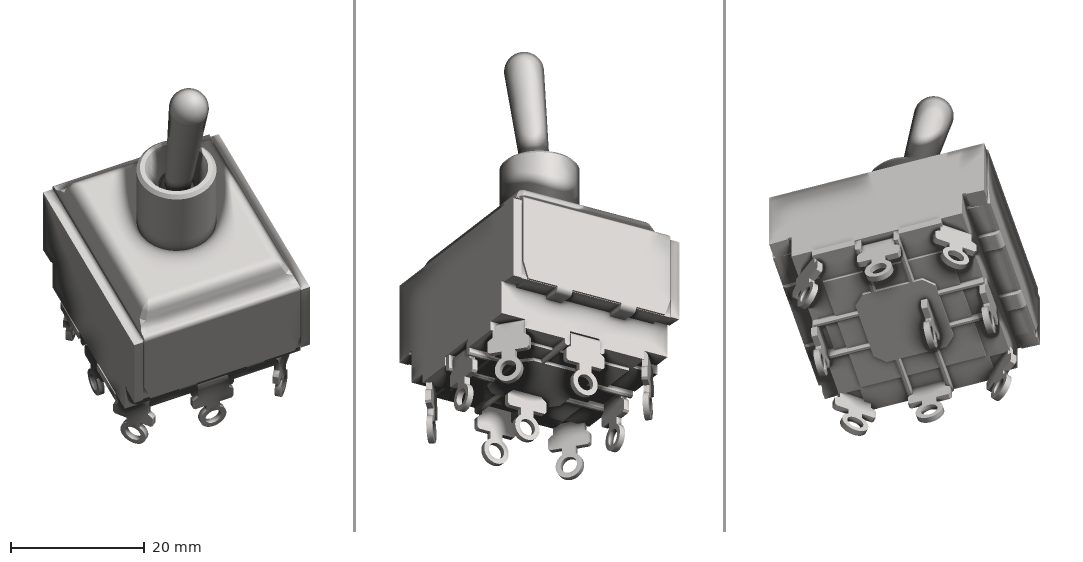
import cadquery as cq
import math

body_half_x = 16.8
body_half_y = 14.4
plate_inner_y = 12.95
core_half_x = 16.6
body_top = 27.95
step_z = 15.0
step_root_z = 15.2
relief_z = 15.5
relief_width = 0.6
lower_half_x = 13.35
plate_bottom = 10.15

base_half_y = 14.2
base_bottom = 8.7
rib_bottom = 7.75
rib_inner = 2.55
rib_width = 0.9
rib_chamfer = 0.25
rib_outer = rib_inner + rib_width
corner_x = 10.1
corner_y = 10.35
notch_depth = 1.6
ledge_half = 9.8
ledge_bottom = 8.3
hub_half = 6.25
hub_chamfer = 1.55
pad_front = 14.5
pad_depth = 1.0

frame_half_x = 17.0
frame_half_y = 12.8
frame_bottom = 15.05
frame_taper_z = 17.85
frame_taper_y = 11.85
shoulder_z = 28.8
cap_top = 32.1
cap_half_x = 12.3
cap_half_y = 9.9
cap_radius = 1.95
flank_slope = 66.0
flare_start_z = 29.9
corner_bevel = 0.45
tab_center_y = 5.55
tab_width = 2.6
tab_end_x = 13.6
tab_step_x = 15.3
tab_bottom = 14.15
tab_end_bottom = 14.3
tab_radius = frame_bottom - tab_bottom

bushing_radius = 6.0
bushing_top = 44.2
bushing_chamfer = 0.5
mouth_radius = 4.75
bore_radius = 5.4 / 2
cone_bottom = 40.6
ball_center_z = 38.95

lever_tilt = 10.8
tip_radius = 3.0
tip_x = 4.55
total_height = 65.15
lever_length = 25.1
lever_root_radius = 1.8

terminal_thickness = 0.9
terminal_face = 13.6
bend_top = plate_bottom
bend_radius = 1.0
flange_length = 2.6
neck_half = 5.0 / 2
ear_half = 3.3
ear_top = 7.3
ear_bottom = 5.1
ear_chamfer = 0.3
stem_half = 2.15 / 2
ring_radius = 4.25 / 2
eye_diameter = 2.6
corner_face_x = 11.8
corner_face_y = 12.4
corner_turn = 39.0
inner_terminal_x = 3.6


def block(x0, x1, y0, y1, z0, z1):
    """Box between two opposite corners."""
    return cq.Workplane("XY").box(x1 - x0, y1 - y0, z1 - z0, centered=False).translate((x0, y0, z0))


def mirrored_outline(plane, half_points):
    """Closed workplane outline from its right-hand points and their mirror images."""
    left = [(-u, v) for u, v in reversed(half_points)]
    return cq.Workplane(plane).polyline(half_points + left).close()


def make_body():
    """Stepped body with two end plates and shallow recesses for the frame sides."""
    plate = [
        (lower_half_x, plate_bottom),
        (lower_half_x, relief_z),
        (lower_half_x + relief_width, relief_z),
        (lower_half_x + relief_width, step_root_z),
        (body_half_x, step_z),
        (body_half_x, body_top),
    ]
    body = mirrored_outline("XZ", plate).extrude(body_half_y, both=True)
    for side in (-1, 1):
        middle = (core_half_x + body_half_x) / 2 * side
        recess = cq.Workplane("XY").box(
            body_half_x - core_half_x, 2 * plate_inner_y, body_top - step_z, centered=(True, True, False)
        )
        body = body.cut(recess.translate((middle, 0, step_z)))
    return body


def make_ribs():
    """Two pairs of crossing ribs that flank the mid-side terminals."""
    rib_height = plate_bottom - rib_bottom
    centered = (True, True, False)
    along_x = cq.Workplane("XY").box(2 * lower_half_x, rib_width, rib_height, centered=centered)
    along_y = cq.Workplane("XY").box(rib_width, 2 * base_half_y, rib_height, centered=centered)
    along_x = along_x.edges("<Z and |X").chamfer(rib_chamfer)
    along_y = along_y.edges("<Z and |Y").chamfer(rib_chamfer)
    offset = rib_inner + rib_width / 2
    ribs = along_x.translate((0, offset, rib_bottom)).union(along_x.translate((0, -offset, rib_bottom)))
    for x in (-offset, offset):
        ribs = ribs.union(along_y.translate((x, 0, rib_bottom)))
    return ribs


def make_base():
    base = block(-lower_half_x, lower_half_x, -base_half_y, base_half_y, base_bottom, plate_bottom)
    ledge = block(-ledge_half, ledge_half, -ledge_half, ledge_half, ledge_bottom, base_bottom)
    hub = block(-hub_half, hub_half, -hub_half, hub_half, rib_bottom, base_bottom)
    base = base.union(ledge).union(hub.edges("|Z").chamfer(hub_chamfer)).union(make_ribs())

    for x0, x1 in ((-corner_x, -rib_outer), (rib_outer, corner_x)):
        base = base.union(block(x0, x1, -pad_front, -pad_front + pad_depth, base_bottom, plate_bottom))
        base = base.union(block(x0, x1, body_half_y - pad_depth, body_half_y, base_bottom, plate_bottom))

    notch_x = lower_half_x - notch_depth
    notch_y = base_half_y - notch_depth
    side_notch = block(notch_x, lower_half_x, -rib_inner, rib_inner, rib_bottom, plate_bottom)
    end_notch = block(-rib_inner, rib_inner, notch_y, base_half_y, rib_bottom, plate_bottom)
    corner = block(corner_x, lower_half_x, corner_y, base_half_y, base_bottom, plate_bottom)
    base = base.cut(side_notch).cut(side_notch.mirror("YZ"))
    base = base.cut(end_notch).cut(end_notch.mirror("XZ"))
    for notch in (corner, corner.mirror("YZ")):
        base = base.cut(notch).cut(notch.mirror("XZ"))
    return base


def rounded_top(flat_half):
    """Middle and end of the arc that rolls the flat top over into the flank."""
    points = []
    for angle in (math.radians(flank_slope / 2), math.radians(flank_slope)):
        across = flat_half + cap_radius * math.sin(angle)
        height = cap_top - cap_radius * (1 - math.cos(angle))
        points.append((across, height))
    return points


def cut_corners(frame, foot_x, flare_end_x):
    """Bevel the slanted corners of the cap; the bevels taper out at the flat top and at the foot."""
    mid_x, end_x = rounded_top(cap_half_x)
    mid_y, end_y = rounded_top(cap_half_y)
    foot_y = end_y[0] + (end_y[1] - flare_start_z) / math.tan(math.radians(flank_slope))

    def along_diagonal(x, y, inset):
        return (x + y) * math.sqrt(0.5) - inset

    top = along_diagonal(cap_half_x, cap_half_y, 0)
    foot = along_diagonal(flare_end_x, frame_half_y, 0)
    cutter = (
        cq.Workplane("XZ")
        .moveTo(top, cap_top)
        .threePointArc(
            (along_diagonal(mid_x[0], mid_y[0], corner_bevel / 2), mid_x[1]),
            (along_diagonal(end_x[0], end_y[0], corner_bevel), end_x[1]),
        )
        .lineTo(along_diagonal(foot_x, foot_y, corner_bevel), flare_start_z)
        .lineTo(foot, shoulder_z)
        .lineTo(foot, cap_top)
        .close()
        .extrude(frame_half_y, both=True)
        .rotate((0, 0, 0), (0, 0, 1), 45)
    )
    for part in (cutter, cutter.mirror("YZ")):
        frame = frame.cut(part).cut(part.mirror("XZ"))
    return frame


def make_frame():
    top_mid, top_end = rounded_top(cap_half_x)
    slope = math.radians(flank_slope)
    foot_x = top_end[0] + (top_end[1] - flare_start_z) / math.tan(slope)
    drop = flare_start_z - shoulder_z
    flare_end_x = foot_x + drop / math.tan(slope / 2)
    bulge = math.tan(slope / 4) / 2 * math.hypot(flare_end_x - foot_x, drop)
    flare_mid = (
        (foot_x + flare_end_x) / 2 - bulge * math.sin(slope / 2),
        (flare_start_z + shoulder_z) / 2 - bulge * math.cos(slope / 2),
    )
    shoulder_radius = frame_half_x - flare_end_x
    diagonal = shoulder_radius * math.sqrt(0.5)

    def flip(point):
        return (-point[0], point[1])

    shoulder_mid = (flare_end_x + diagonal, shoulder_z - shoulder_radius + diagonal)
    section_x = (
        cq.Workplane("XZ")
        .moveTo(-cap_half_x, cap_top)
        .lineTo(cap_half_x, cap_top)
        .threePointArc(top_mid, top_end)
        .lineTo(foot_x, flare_start_z)
        .threePointArc(flare_mid, (flare_end_x, shoulder_z))
        .threePointArc(shoulder_mid, (frame_half_x, shoulder_z - shoulder_radius))
        .lineTo(frame_half_x, frame_bottom)
        .lineTo(-frame_half_x, frame_bottom)
        .lineTo(-frame_half_x, shoulder_z - shoulder_radius)
        .threePointArc(flip(shoulder_mid), (-flare_end_x, shoulder_z))
        .threePointArc(flip(flare_mid), (-foot_x, flare_start_z))
        .lineTo(*flip(top_end))
        .threePointArc(flip(top_mid), (-cap_half_x, cap_top))
        .close()
        .extrude(frame_half_y, both=True)
    )
    top_mid, top_end = rounded_top(cap_half_y)
    section_y = (
        cq.Workplane("YZ")
        .moveTo(-cap_half_y, cap_top)
        .lineTo(cap_half_y, cap_top)
        .threePointArc(top_mid, top_end)
        .lineTo(frame_half_y, shoulder_z)
        .lineTo(frame_half_y, frame_taper_z)
        .lineTo(frame_taper_y, frame_bottom)
        .lineTo(-frame_taper_y, frame_bottom)
        .lineTo(-frame_half_y, frame_taper_z)
        .lineTo(-frame_half_y, shoulder_z)
        .lineTo(*flip(top_end))
        .threePointArc(flip(top_mid), (-cap_half_y, cap_top))
        .close()
        .extrude(frame_half_x, both=True)
    )
    return cut_corners(section_x.intersect(section_y), foot_x, flare_end_x)


def make_tab():
    """Hook at the foot of the +X frame side, folded in under the body."""
    return (
        cq.Workplane("XZ")
        .moveTo(frame_half_x, frame_bottom)
        .radiusArc((frame_half_x - tab_radius, tab_bottom), tab_radius)
        .lineTo(tab_step_x, tab_bottom)
        .lineTo(tab_step_x, tab_end_bottom)
        .lineTo(tab_end_x, tab_end_bottom)
        .lineTo(tab_end_x, frame_bottom)
        .close()
        .extrude(tab_width / 2, both=True)
    )


def make_bushing():
    profile = [
        (0, body_top),
        (bushing_radius, body_top),
        (bushing_radius, bushing_top - bushing_chamfer),
        (bushing_radius - bushing_chamfer, bushing_top),
        (mouth_radius, bushing_top),
        (bore_radius, cone_bottom),
        (bore_radius, ball_center_z),
        (0, ball_center_z),
    ]
    bushing = cq.Workplane("XZ").polyline(profile).close().revolve(360, (0, 0), (0, 1))
    return bushing.union(cq.Workplane("XY").sphere(bore_radius).translate((0, 0, ball_center_z)))


def make_lever():
    """Tapered stick with a round tip; its local origin is the tip centre."""
    profile = (
        cq.Workplane("XZ")
        .moveTo(0, -lever_length)
        .lineTo(lever_root_radius, -lever_length)
        .lineTo(tip_radius, 0)
        .threePointArc((tip_radius * math.sqrt(0.5), tip_radius * math.sqrt(0.5)), (0, tip_radius))
        .close()
    )
    lever = profile.revolve(360, (0, 0), (0, 1))
    lever = lever.rotate((0, 0, 0), (0, 1, 0), lever_tilt)
    return lever.translate((tip_x, 0, total_height - tip_radius))


def make_terminal():
    """Terminal with its outer face on Y = 0, facing -Y, and its flange running toward +Y."""
    outline = [
        (stem_half, ring_radius),
        (stem_half, ear_bottom),
        (ear_half - ear_chamfer, ear_bottom),
        (ear_half, ear_bottom + ear_chamfer),
        (ear_half, ear_top - ear_chamfer),
        (ear_half - ear_chamfer, ear_top),
        (neck_half, ear_top + ear_chamfer),
        (neck_half, bend_top),
    ]
    front = mirrored_outline("XZ", outline).extrude(-flange_length)
    ring = cq.Workplane("XZ").center(0, ring_radius).circle(ring_radius).extrude(-flange_length)
    front = front.union(ring)
    flange_bottom = bend_top - terminal_thickness
    side = (
        cq.Workplane("YZ")
        .lineTo(0, bend_top - bend_radius)
        .radiusArc((bend_radius, bend_top), bend_radius)
        .lineTo(flange_length, bend_top)
        .lineTo(flange_length, flange_bottom)
        .lineTo(terminal_thickness, flange_bottom)
        .lineTo(terminal_thickness, 0)
        .close()
        .extrude(ear_half, both=True)
    )
    eye = cq.Workplane("XZ").center(0, ring_radius).circle(eye_diameter / 2).extrude(-flange_length)
    return front.intersect(side).cut(eye)


def place(terminal, x, y, turn):
    return terminal.rotate((0, 0, 0), (0, 0, 1), turn).translate((x, y, 0))


result = make_body().union(make_base()).union(make_frame())

tab = make_tab()
for tab_y in (-tab_center_y, tab_center_y):
    right_tab = tab.translate((0, tab_y, 0))
    result = result.union(right_tab).union(right_tab.mirror("YZ"))

result = result.union(make_bushing()).union(make_lever())

terminal = make_terminal()
placements = [
    (0, -terminal_face, 0),
    (terminal_face, 0, 90),
    (0, terminal_face, 180),
    (-terminal_face, 0, -90),
    (corner_face_x, -corner_face_y, corner_turn),
    (corner_face_x, corner_face_y, 180 - corner_turn),
    (-corner_face_x, corner_face_y, 180 + corner_turn),
    (-corner_face_x, -corner_face_y, -corner_turn),
    (inner_terminal_x, 0, -90),
]
for x, y, turn in placements:
    result = result.union(place(terminal, x, y, turn))